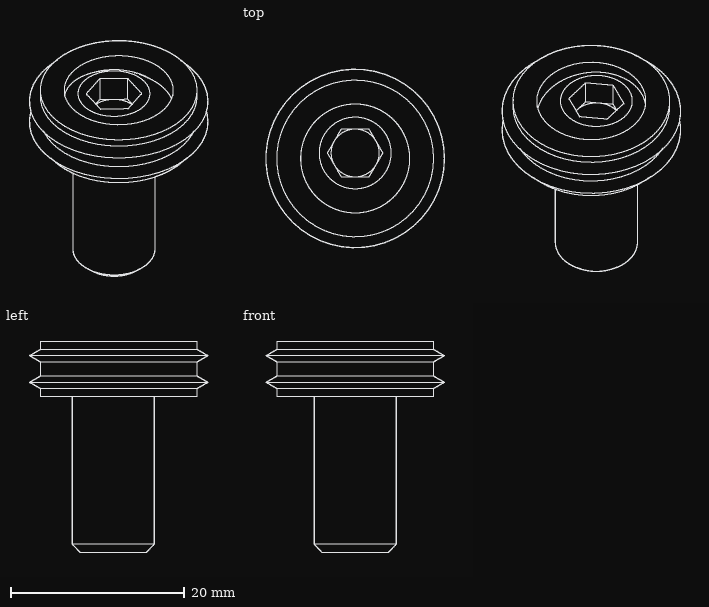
import cadquery as cq
import math

total_height = 24.38

ring_height = 6.39
ring_radius = 9.05
ridge_tip_radius = 10.31
ridge_half_width = 0.73
ridge_end_distance = 1.65
ring_bottom = total_height - ring_height

screw_offset = 0.63
shank_radius = 4.75
shank_chamfer_height = 0.98
shank_tip_radius = 3.83
head_radius = 6.3
head_flat_radius = 4.15
head_recess = 0.25
head_height = 3.75
dome_sphere_radius = 8.78
head_top = total_height - head_recess
head_bottom = head_top - head_height
sphere_center_z = head_top - math.sqrt(dome_sphere_radius**2 - head_flat_radius**2)

socket_flats = 5.53
socket_depth = 3.12
drill_point_angle = 120.0
socket_floor = head_top - socket_depth
drill_radius = socket_flats / 2
drill_point_depth = drill_radius / math.tan(math.radians(drill_point_angle / 2))


def revolve_about_z(profile):
    """Revolve a closed XZ profile a full turn about the Z axis."""
    return profile.revolve(360, (0, 0, 0), (0, 1, 0))


def make_ring():
    """Ring with two sharp ridges, counterbored for the head and bored off-centre for the shank."""
    profile = cq.Workplane("XZ").moveTo(0, ring_bottom).lineTo(ring_radius, ring_bottom)
    for tip_z in (ring_bottom + ridge_end_distance, total_height - ridge_end_distance):
        profile = (
            profile.lineTo(ring_radius, tip_z - ridge_half_width)
            .lineTo(ridge_tip_radius, tip_z)
            .lineTo(ring_radius, tip_z + ridge_half_width)
        )
    profile = (
        profile.lineTo(ring_radius, total_height)
        .lineTo(head_radius, total_height)
        .lineTo(head_radius, head_bottom)
        .lineTo(0, head_bottom)
        .close()
    )
    shank_hole = (
        cq.Workplane("XY", origin=(0, screw_offset, ring_bottom))
        .circle(shank_radius)
        .extrude(ring_height)
    )
    return revolve_about_z(profile).cut(shank_hole)


def make_socket():
    """Hexagonal socket, corners along X, ending in a drill-point cone."""
    corner_diameter = socket_flats / math.cos(math.pi / 6)
    hexagon = (
        cq.Workplane("XY", origin=(0, 0, socket_floor))
        .polygon(6, corner_diameter)
        .extrude(socket_depth)
    )
    drill_point = revolve_about_z(
        cq.Workplane("XZ")
        .moveTo(0, socket_floor)
        .lineTo(drill_radius, socket_floor)
        .lineTo(0, socket_floor - drill_point_depth)
        .close()
    )
    return hexagon.union(drill_point).translate((0, screw_offset, 0))


def make_head():
    """Head with its rim on the ring axis, topped by a truncated dome on the screw axis."""
    cylinder = (
        cq.Workplane("XY", origin=(0, 0, head_bottom))
        .circle(head_radius)
        .extrude(head_height)
    )
    sphere = cq.Workplane("XY", origin=(0, screw_offset, sphere_center_z)).sphere(dome_sphere_radius)
    return cylinder.intersect(sphere)


def make_shank():
    """Plain shank, chamfered at its free end, on the screw axis."""
    return revolve_about_z(
        cq.Workplane("XZ")
        .lineTo(shank_tip_radius, 0)
        .lineTo(shank_radius, shank_chamfer_height)
        .lineTo(shank_radius, head_bottom)
        .lineTo(0, head_bottom)
        .close()
    ).translate((0, screw_offset, 0))


def make_screw():
    """Eccentric button-head screw with a hexagonal socket."""
    return make_head().union(make_shank()).cut(make_socket())


ring = make_ring()
screw = make_screw()
result = cq.Compound.makeCompound([ring.val(), screw.val()])